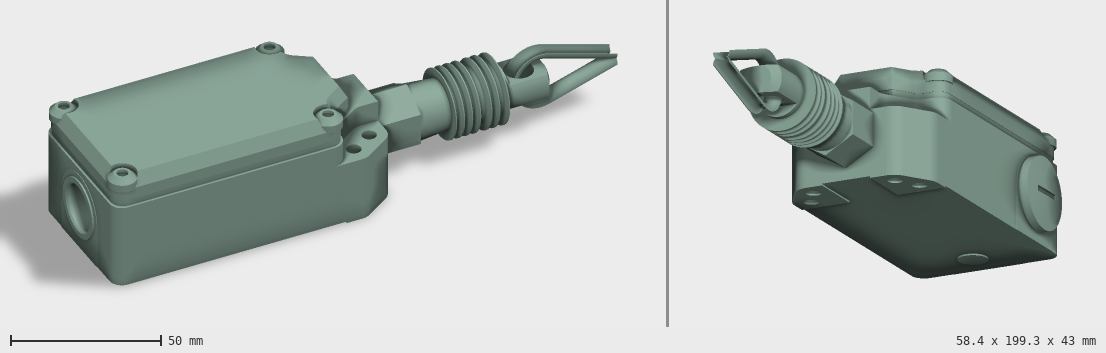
import cadquery as cq
import math

HALF_WIDTH = 26.7
BACK_Y = 106.7
FRONT_WALL_Y = 0.2
FOOT_HEIGHT = 0.5
EAR_TOP_Z = 24.1
BODY_TOP_Z = 31.9
FRONT_CORNER_RADIUS = 4.5
AXIS_Z = 16.5

BACK_HALF_WIDTH = 18.1
EAR_SIDE_Y = 93.7
EAR_BACK_RADIUS = 6.0
EAR_SIDE_RADIUS = 6.0
EAR_HOLE_RADIUS = 2.5
EAR_HOLES = [(15.2, 100.3), (20.1, 92.1)]

NECK_HALF_WIDTH = 9.0
NECK_END_Y = 98.5
FLANK_RUN = (HALF_WIDTH - BACK_HALF_WIDTH) / (BACK_Y - EAR_SIDE_Y)
NECK_RADIUS = 5.2
FLANK_ROOT_RADIUS = 4.0

SCREW_RADIUS = 5.0
SCREW_X = HALF_WIDTH - SCREW_RADIUS
SCREW_YS = (5.2, 81.7)
SCREW_SEAT_Z = 38.0
SCREW_SHOULDER_Z = 40.9
SCREW_TOP_Z = 42.7
SCREW_TOP_RADIUS = 3.0
SOCKET_RADIUS = 2.0
SOCKET_DEPTH = 1.5

LID_INSET = 0.7
GASKET_INSET = 0.9
GASKET_BACK_STEP = 0.5
GASKET_TOP_Z = 34.3
LID_TOP_Z = 43.0
LID_BACK_Y = 94.5
LID_BEVEL_HEIGHT = 4.5
LID_BEVEL_WIDTH = 2.5

REAR_FOOT_INNER_X = 9.0
REAR_FOOT_FRONT_Y = 86.1
FRONT_FOOT_RADIUS = 5.2
FRONT_FOOT_Y = 12.8

PAD_RADIUS = 13.2
ENTRY_RIM_RADIUS = 11.0
ENTRY_RIM_HEIGHT = 0.5
ENTRY_BORE_RADIUS = 8.4
ENTRY_CHAMFER = 0.5
ENTRY_DEPTH = 9.5

PLUG_Y = 20.5
SIDE_PAD_HEIGHT = 0.2
PLUG_NECK_RADIUS = 12.2
PLUG_NECK_HEIGHT = 1.0
PLUG_HEAD_RADIUS = 12.8
PLUG_RIM_HEIGHT = 4.0
PLUG_HEIGHT = 5.0
PLUG_SLOT_LENGTH = 13.2
PLUG_SLOT_WIDTH = 2.0
PLUG_SLOT_DEPTH = 1.0

HEX_ACROSS_FLATS = 20.5
HEX_END_Y = 122.0
CONE_BASE_RADIUS = 10.2
CONE_END_RADIUS = 9.2
CONE_END_Y = 133.0
BELLOWS_ROOT_RADIUS = 10.2
BELLOWS_TIP_RADIUS = 12.5
BELLOWS_START_Y = 134.0
BELLOWS_END_Y = 154.1
FOLD_PITCH = 3.0
FOLD_BASE_HALF = 1.2
FOLD_TIP_HALF = 0.2
REAR_FOLD_Y = 137.2
REAR_FOLDS = 3
FRONT_FOLD_Y = 147.3
FRONT_FOLDS = 2
SHAFT_RADIUS = 8.4
SHAFT_END_Y = 172.5
SHAFT_POINT_LENGTH = 1.5
SHAFT_POINT_RADIUS = 5.2
EYE_FLAT_START_Y = 156.5
EYE_HALF_THICKNESS = 4.8
EYE_HOLE_Y = 163.5
EYE_HOLE_RADIUS = 5.2

CHANNEL_RADIUS = 3.2
CHANNEL_WALL = 0.3
LOOP_CENTER_Y = 170.3
LOOP_RADIUS = 10.5
LEG_ANGLE = 17.3
THIMBLE_TIP_Y = 198.8

OVERLAP = 2.0
PICK_MARGIN = 0.2


def prism(outline, bottom_z, top_z):
    """Extrude a closed XY outline between two heights."""
    return outline.extrude(top_z - bottom_z).translate((0, 0, bottom_z))


def fillet_corners(solid, corners, radius):
    """Round the upright edges at the given (x, y) corners and at their mirror images."""
    for x, y in corners:
        for side in (-1, 1):
            low = (side * x - PICK_MARGIN, y - PICK_MARGIN, -PICK_MARGIN)
            high = (side * x + PICK_MARGIN, y + PICK_MARGIN, LID_TOP_Z + PICK_MARGIN)
            near = cq.selectors.BoxSelector(low, high)
            solid = solid.edges("|Z").edges(near).fillet(radius)
    return solid


def flank_x(y):
    """Half width of the neck at y, on its sloping flank."""
    return NECK_HALF_WIDTH + (NECK_END_Y - y) * FLANK_RUN


def lower_block(bottom_z, top_z):
    """Full footprint with the bevelled ears."""
    outline = cq.Workplane("XY").polyline([
        (-HALF_WIDTH, FRONT_WALL_Y), (HALF_WIDTH, FRONT_WALL_Y), (HALF_WIDTH, EAR_SIDE_Y),
        (BACK_HALF_WIDTH, BACK_Y), (-BACK_HALF_WIDTH, BACK_Y), (-HALF_WIDTH, EAR_SIDE_Y),
    ]).close()
    block = prism(outline, bottom_z, top_z)
    block = fillet_corners(block, [(HALF_WIDTH, FRONT_WALL_Y)], FRONT_CORNER_RADIUS)
    block = fillet_corners(block, [(HALF_WIDTH, EAR_SIDE_Y)], EAR_SIDE_RADIUS)
    return fillet_corners(block, [(BACK_HALF_WIDTH, BACK_Y)], EAR_BACK_RADIUS)


def upper_block(bottom_z, top_z, inset, back_points):
    """Narrower footprint that curves round the rear screws and runs up the neck flanks.

    back_points lists the +X points beyond the root of the flank, from front to back.
    """
    side_x = HALF_WIDTH - inset
    front_y = FRONT_WALL_Y + inset
    screw_y = SCREW_YS[1]
    shoulder_radius = SCREW_RADIUS - inset
    shoulder_y = screw_y + shoulder_radius
    bulge = shoulder_radius * math.sqrt(0.5)
    root = (flank_x(shoulder_y) - inset, shoulder_y)
    right = [root] + [(x - inset, y) for x, y in back_points]
    left = [(-x, y) for x, y in reversed(right)]
    outline = (
        cq.Workplane("XY")
        .moveTo(-side_x, front_y)
        .lineTo(side_x, front_y)
        .lineTo(side_x, screw_y)
        .threePointArc((SCREW_X + bulge, screw_y + bulge), (SCREW_X, shoulder_y))
    )
    for x, y in right + left + [(-SCREW_X, shoulder_y)]:
        outline = outline.lineTo(x, y)
    outline = outline.threePointArc((-SCREW_X - bulge, screw_y + bulge), (-side_x, screw_y)).close()
    block = prism(outline, bottom_z, top_z)
    block = fillet_corners(block, [(side_x, front_y)], FRONT_CORNER_RADIUS)
    return fillet_corners(block, [root], FLANK_ROOT_RADIUS)


def feet():
    """Two pads under the ears and one round pad near the front."""
    footprint = lower_block(0, FOOT_HEIGHT + OVERLAP)
    pad_width = HALF_WIDTH - REAR_FOOT_INNER_X
    pad_length = BACK_Y - REAR_FOOT_FRONT_Y
    pad_x = REAR_FOOT_INNER_X + pad_width / 2
    pad_y = REAR_FOOT_FRONT_Y + pad_length / 2
    rear_zones = (
        cq.Workplane("XY")
        .pushPoints([(-pad_x, pad_y), (pad_x, pad_y)])
        .rect(pad_width, pad_length)
        .extrude(FOOT_HEIGHT + OVERLAP)
    )
    rear = footprint.intersect(rear_zones)
    front = cq.Workplane("XY").circle(FRONT_FOOT_RADIUS).extrude(FOOT_HEIGHT + OVERLAP)
    front = front.translate((0, FRONT_FOOT_Y, 0))
    return rear.union(front)


def lid():
    """Bevelled cover on a slightly recessed gasket layer."""
    back = [(flank_x(LID_BACK_Y), LID_BACK_Y)]
    gasket_back_y = LID_BACK_Y - GASKET_BACK_STEP
    gasket_back = [(flank_x(gasket_back_y), gasket_back_y)]
    gasket = upper_block(BODY_TOP_Z, GASKET_TOP_Z, GASKET_INSET, gasket_back)
    cover = upper_block(GASKET_TOP_Z, LID_TOP_Z, LID_INSET, back)
    cover = cover.faces(">Z").chamfer(LID_BEVEL_HEIGHT, LID_BEVEL_WIDTH)
    return gasket.union(cover)


def entry_pad(depth):
    """Round-topped pad from the base up, centred on the local origin and standing out by depth."""
    height = AXIS_Z - FOOT_HEIGHT
    return (
        cq.Workplane("XZ")
        .moveTo(-PAD_RADIUS, -height)
        .lineTo(-PAD_RADIUS, 0)
        .threePointArc((0, PAD_RADIUS), (PAD_RADIUS, 0))
        .lineTo(PAD_RADIUS, -height)
        .close()
        .extrude(depth + OVERLAP)
        .translate((0, OVERLAP, AXIS_Z))
    )


def turned(profile):
    """Revolve a closed (radius, y) profile about the stem axis."""
    outline = cq.Workplane("XY").polyline(profile).close()
    return outline.revolve(360, (0, 0, 0), (0, 1, 0)).translate((0, 0, AXIS_Z))


def add_cable_entry(housing):
    """Raised pad and rim around a blind, chamfered bore."""
    housing = housing.union(entry_pad(FRONT_WALL_Y).translate((0, FRONT_WALL_Y, 0)))
    rim = turned([(0, OVERLAP), (0, -ENTRY_RIM_HEIGHT), (ENTRY_RIM_RADIUS, -ENTRY_RIM_HEIGHT),
                  (ENTRY_RIM_RADIUS, OVERLAP)])
    bore = turned([
        (0, -ENTRY_RIM_HEIGHT),
        (ENTRY_BORE_RADIUS + ENTRY_CHAMFER, -ENTRY_RIM_HEIGHT),
        (ENTRY_BORE_RADIUS, ENTRY_CHAMFER - ENTRY_RIM_HEIGHT),
        (ENTRY_BORE_RADIUS, ENTRY_DEPTH),
        (0, ENTRY_DEPTH),
    ])
    return housing.union(rim).cut(bore)


def plug():
    """Slotted domed plug, turned about an axis along -X at the side wall."""
    dome_rise = PLUG_HEIGHT - PLUG_RIM_HEIGHT
    dome_radius = (PLUG_HEAD_RADIUS ** 2 + dome_rise ** 2) / (2 * dome_rise)
    mid_r = PLUG_HEAD_RADIUS / 2
    mid_height = PLUG_HEIGHT - dome_radius + math.sqrt(dome_radius ** 2 - mid_r ** 2)
    head = (
        cq.Workplane("XY")
        .moveTo(OVERLAP, 0)
        .lineTo(OVERLAP, PLUG_NECK_RADIUS)
        .lineTo(-PLUG_NECK_HEIGHT, PLUG_NECK_RADIUS)
        .lineTo(-PLUG_NECK_HEIGHT, PLUG_HEAD_RADIUS)
        .lineTo(-PLUG_RIM_HEIGHT, PLUG_HEAD_RADIUS)
        .threePointArc((-mid_height, mid_r), (-PLUG_HEIGHT, 0))
        .close()
        .revolve(360, (0, 0, 0), (1, 0, 0))
    )
    slot = cq.Workplane("XY").box(2 * PLUG_SLOT_DEPTH, PLUG_SLOT_LENGTH, PLUG_SLOT_WIDTH)
    head = head.cut(slot.translate((-PLUG_HEIGHT, 0, 0))).translate((0, 0, AXIS_Z))
    pad = entry_pad(SIDE_PAD_HEIGHT).rotate((0, 0, 0), (0, 0, 1), -90)
    return head.union(pad).translate((-HALF_WIDTH, PLUG_Y, 0))


def add_lid_screws(housing):
    """Socket-head screws with conical tops, each in a round seat cut into the lid bevel."""
    head = cq.Workplane("XZ").polyline([
        (0, SCREW_SEAT_Z),
        (SCREW_RADIUS, SCREW_SEAT_Z),
        (SCREW_RADIUS, SCREW_SHOULDER_Z),
        (SCREW_TOP_RADIUS, SCREW_TOP_Z),
        (SOCKET_RADIUS, SCREW_TOP_Z),
        (SOCKET_RADIUS, SCREW_TOP_Z - SOCKET_DEPTH),
        (0, SCREW_TOP_Z - SOCKET_DEPTH),
    ]).close().revolve(360, (0, 0, 0), (0, 1, 0))
    seat = prism(cq.Workplane("XY").circle(SCREW_RADIUS), SCREW_SEAT_Z, LID_TOP_Z)
    for side in (-1, 1):
        for y in SCREW_YS:
            place = (side * SCREW_X, y, 0)
            housing = housing.cut(seat.translate(place)).union(head.translate(place))
    return housing


def bellows():
    """Sleeve with three full folds, a wider gap, two more full folds and a half fold at each end."""
    sleeve = turned([(0, CONE_END_Y), (0, BELLOWS_END_Y), (BELLOWS_ROOT_RADIUS, BELLOWS_END_Y),
                     (BELLOWS_ROOT_RADIUS, BELLOWS_START_Y), (CONE_END_RADIUS, BELLOWS_START_Y),
                     (CONE_END_RADIUS, CONE_END_Y)])
    full_folds = [REAR_FOLD_Y + i * FOLD_PITCH for i in range(REAR_FOLDS)]
    full_folds += [FRONT_FOLD_Y + i * FOLD_PITCH for i in range(FRONT_FOLDS)]
    for y in full_folds:
        sleeve = sleeve.union(turned([
            (0, y - FOLD_BASE_HALF), (BELLOWS_ROOT_RADIUS, y - FOLD_BASE_HALF),
            (BELLOWS_TIP_RADIUS, y - FOLD_TIP_HALF), (BELLOWS_TIP_RADIUS, y + FOLD_TIP_HALF),
            (BELLOWS_ROOT_RADIUS, y + FOLD_BASE_HALF), (0, y + FOLD_BASE_HALF),
        ]))
    for y, inward in ((BELLOWS_START_Y, 1), (BELLOWS_END_Y, -1)):
        sleeve = sleeve.union(turned([
            (0, y), (BELLOWS_TIP_RADIUS, y), (BELLOWS_TIP_RADIUS, y + inward * 2 * FOLD_TIP_HALF),
            (BELLOWS_ROOT_RADIUS, y + inward * FOLD_BASE_HALF), (0, y + inward * FOLD_BASE_HALF),
        ]))
    return sleeve


def eye_shaft():
    """Pointed shaft, flattened above and below, with a cross hole for the thimble."""
    edge_y = SHAFT_END_Y - SHAFT_POINT_LENGTH
    shaft = turned([(0, BELLOWS_START_Y), (SHAFT_RADIUS, BELLOWS_START_Y), (SHAFT_RADIUS, edge_y),
                    (SHAFT_POINT_RADIUS, SHAFT_END_Y), (0, SHAFT_END_Y)])
    flat_length = SHAFT_END_Y - EYE_FLAT_START_Y
    relief_height = SHAFT_RADIUS - EYE_HALF_THICKNESS
    relief = cq.Workplane("XY").box(2 * SHAFT_RADIUS, flat_length, relief_height)
    for side in (-1, 1):
        relief_z = AXIS_Z + side * (EYE_HALF_THICKNESS + relief_height / 2)
        shaft = shaft.cut(relief.translate((0, EYE_FLAT_START_Y + flat_length / 2, relief_z)))
    eye = cq.Workplane("XY").center(0, EYE_HOLE_Y).circle(EYE_HOLE_RADIUS).extrude(AXIS_Z + SHAFT_RADIUS)
    return shaft.cut(eye)


def stem():
    """Hexagon, cone, bellows and eye shaft in line along +Y."""
    across_corners = HEX_ACROSS_FLATS / math.cos(math.pi / 6)
    hexagon = (
        cq.Workplane("XZ")
        .polygon(6, across_corners)
        .extrude(-(HEX_END_Y - BACK_Y + OVERLAP))
        .rotate((0, 0, 0), (0, 1, 0), 30)
        .translate((0, BACK_Y - OVERLAP, AXIS_Z))
    )
    cone = turned([(0, BACK_Y), (CONE_BASE_RADIUS, BACK_Y), (CONE_BASE_RADIUS, HEX_END_Y),
                   (CONE_END_RADIUS, CONE_END_Y), (0, CONE_END_Y)])
    return hexagon.union(cone).union(bellows()).union(eye_shaft())


def make_housing():
    """Body with its lid, screws, cable entry, plug and stem as one solid."""
    neck = [(flank_x(NECK_END_Y), NECK_END_Y), (NECK_HALF_WIDTH, BACK_Y)]
    upper = upper_block(EAR_TOP_Z, BODY_TOP_Z, 0, neck)
    upper = fillet_corners(upper, neck[:1], NECK_RADIUS)
    housing = lower_block(FOOT_HEIGHT, EAR_TOP_Z).union(upper).union(feet()).union(lid())
    ear_holes = [(side * x, y) for x, y in EAR_HOLES for side in (-1, 1)]
    housing = housing.cut(cq.Workplane("XY").pushPoints(ear_holes).circle(EAR_HOLE_RADIUS).extrude(EAR_TOP_Z))
    housing = add_lid_screws(housing)
    housing = add_cable_entry(housing)
    return housing.union(plug()).union(stem())


def channel_section(plane):
    """Half ring, open towards local +Y, whose rims lie on the local X axis."""
    inner = CHANNEL_RADIUS - CHANNEL_WALL
    return (
        cq.Workplane(plane)
        .moveTo(-CHANNEL_RADIUS, 0)
        .threePointArc((0, -CHANNEL_RADIUS), (CHANNEL_RADIUS, 0))
        .lineTo(inner, 0)
        .threePointArc((0, -inner), (-inner, 0))
        .close()
    )


def make_thimble():
    """Round bend through the eye with two tangent legs that meet on the stem axis at the tip."""
    leg_start = cq.Plane(origin=(0, 0, LOOP_RADIUS), xDir=(1, 0, 0), normal=(0, -1, 0))
    bend = channel_section(leg_start).revolve(
        180 + 2 * LEG_ANGLE, (0, -LOOP_RADIUS, 0), (1, -LOOP_RADIUS, 0))
    bend = bend.rotate((0, 0, 0), (1, 0, 0), -LEG_ANGLE)
    reach = THIMBLE_TIP_Y - LOOP_CENTER_Y
    leg = channel_section(leg_start).extrude(-2 * reach).rotate((0, 0, 0), (1, 0, 0), -LEG_ANGLE)
    upper_zone = cq.Workplane("XY").box(
        2 * CHANNEL_RADIUS, reach, 2 * LOOP_RADIUS, centered=(True, False, False))
    upper_leg = leg.intersect(upper_zone)
    lower_leg = upper_leg.mirror("XY")
    thimble = bend.union(upper_leg).union(lower_leg)
    return thimble.translate((0, LOOP_CENTER_Y, AXIS_Z))


housing = make_housing()
thimble = make_thimble()
result = cq.Compound.makeCompound([housing.solids().val(), thimble.solids().val()])